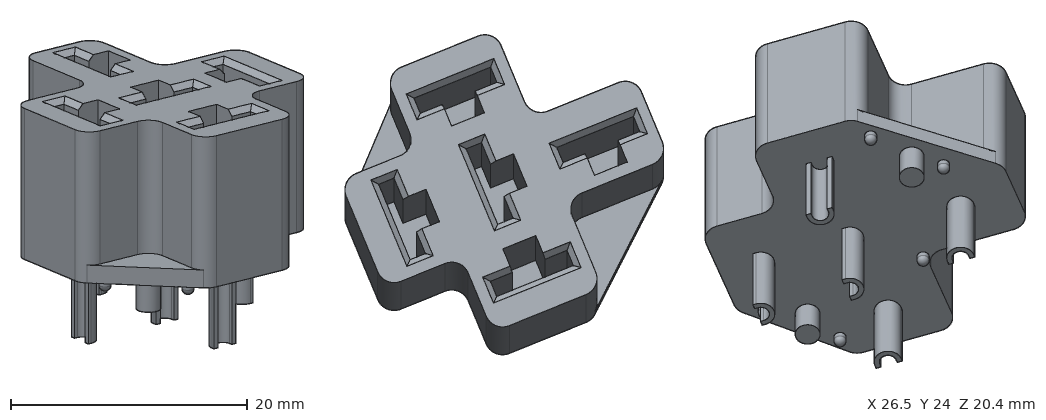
import cadquery as cq
import math

body_height = 13.5
column_width = 10.0
column_half_length = 12.0
left_reach = 14.46
left_arm_width = 7.6
right_reach = 12.03
right_arm_width = 10.0
corner_radius = 1.5
web_height = 1.6

slot_length = 8.0
slot_width = 2.4
slot_bevel = 0.5
bevel_angle = 45
key_width = 3.0
key_reach = 2.8
floor_thickness = 1.5

terminals = [
    (-9.56, 0.0, 0),
    (0.0, -8.5, 0),
    (0.0, 8.5, 180),
    (0.37, 0.0, 90),
    (8.37, 0.0, 90),
]

pin_length = 6.95
pin_radius = 1.175
pin_wall = 0.45
pin_lip = 0.3

peg_radius = 1.05
peg_length = 2.8
peg_places = [(-7.5, 6.5), (6.5, -6.5)]

foot_radius = 0.52
foot_length = 1.0
foot_places = [(-9.75, 4.8), (-5.0, 9.8), (-4.77, -3.98), (4.77, -9.8), (9.77, -4.8)]


def block(x_min, x_max, y_min, y_max, z_min, z_max):
    """Box between the given limits."""
    size = (x_max - x_min, y_max - y_min, z_max - z_min)
    return cq.Workplane("XY").box(*size, centered=False).translate((x_min, y_min, z_min))


def make_cross():
    """Solid cross with rounded outer and inner vertical corners."""
    half_column = column_width / 2
    half_left = left_arm_width / 2
    half_right = right_arm_width / 2
    column = block(-half_column, half_column, -column_half_length, column_half_length, 0, body_height)
    left_arm = block(-left_reach, 0, -half_left, half_left, 0, body_height)
    right_arm = block(0, right_reach, -half_right, half_right, 0, body_height)
    return column.union(left_arm).union(right_arm).edges("|Z").fillet(corner_radius)


def make_web(column_corner, arm_corner):
    """Low plate closing a notch, its outer face tangent to two corner rounds given by their centres.

    The outer face lies to the right when going from the column corner to the arm corner.
    """
    dx = arm_corner[0] - column_corner[0]
    dy = arm_corner[1] - column_corner[1]
    shift_ratio = corner_radius / math.hypot(dx, dy)
    shift_x = dy * shift_ratio
    shift_y = -dx * shift_ratio
    outline = [
        column_corner,
        (column_corner[0] + shift_x, column_corner[1] + shift_y),
        (arm_corner[0] + shift_x, arm_corner[1] + shift_y),
        arm_corner,
        (column_corner[0], arm_corner[1]),
    ]
    return cq.Workplane("XY").polyline(outline).close().extrude(web_height)


def make_webs():
    """The webs in the rear left and front right notches."""
    column_x = column_width / 2 - corner_radius
    column_y = column_half_length - corner_radius
    left_corner = (corner_radius - left_reach, left_arm_width / 2 - corner_radius)
    right_corner = (right_reach - corner_radius, corner_radius - right_arm_width / 2)
    rear_web = make_web((-column_x, column_y), left_corner)
    front_web = make_web((column_x, -column_y), right_corner)
    return rear_web.union(front_web)


def make_socket():
    """Cutter for one socket, slot along X and key toward +Y."""
    inner_length = slot_length - 2 * slot_bevel
    inner_width = slot_width - 2 * slot_bevel
    depth = body_height - floor_thickness
    top = cq.Workplane("XY").workplane(offset=body_height)
    slot = top.rect(inner_length, inner_width).extrude(-depth)
    mouth = top.rect(slot_length, slot_width).extrude(-slot_bevel, taper=bevel_angle)
    key = block(-key_width / 2, key_width / 2, 0, key_reach, floor_thickness, body_height)
    return slot.union(mouth).union(key)


def u_profile(radius):
    """Half disc of the given radius with straight sides down to the open end of the U at -Y."""
    return (
        cq.Workplane("XY")
        .moveTo(-radius, -pin_lip)
        .lineTo(-radius, 0)
        .threePointArc((0, radius), (radius, 0))
        .lineTo(radius, -pin_lip)
        .close()
    )


def make_pin():
    """U-shaped pin hanging below the housing, open toward -Y."""
    outside = u_profile(pin_radius).extrude(-pin_length)
    groove = u_profile(pin_radius - pin_wall).extrude(-pin_length)
    return outside.cut(groove)


def make_foot():
    """Short round foot with a domed end."""
    shank_length = foot_length - foot_radius
    shank = cq.Workplane("XY").circle(foot_radius).extrude(-shank_length)
    dome = cq.Workplane("XY").sphere(foot_radius).translate((0, 0, -shank_length))
    return shank.union(dome)


def place(shape, x, y, turn):
    """Turn a shape about Z and move it to a place on the housing."""
    return shape.rotate((0, 0, 0), (0, 0, 1), turn).translate((x, y, 0))


result = make_cross().union(make_webs())

for x, y, turn in terminals:
    result = result.cut(place(make_socket(), x, y, turn))
    result = result.union(place(make_pin(), x, y, turn))

for x, y in peg_places:
    peg = cq.Workplane("XY").circle(peg_radius).extrude(-peg_length)
    result = result.union(place(peg, x, y, 0))

for x, y in foot_places:
    result = result.union(place(make_foot(), x, y, 0))